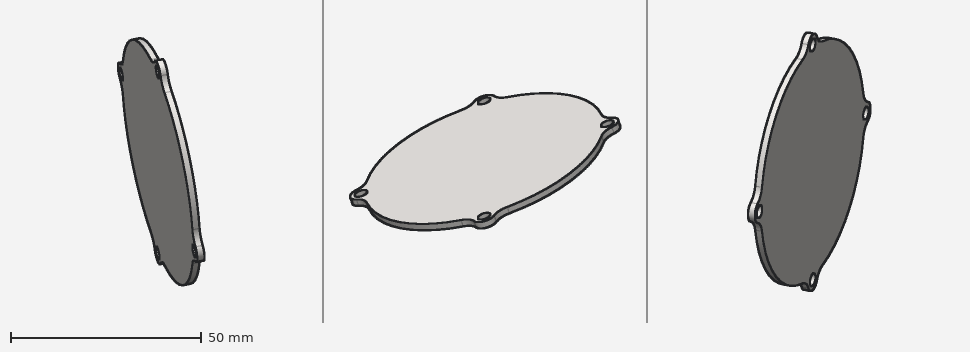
import cadquery as cq
import math

outer_size = 74.0
thickness = 2.0
disc_radius = 33.0
ear_radius = 3.0
blend_radius = 5.0
hole_diameter = 3.5
ear_count = 4

ear_distance = outer_size / 2 - ear_radius

blend_distance = disc_radius + blend_radius
blend_to_ear = ear_radius + blend_radius
blend_angle = math.acos(
    (blend_distance**2 + ear_distance**2 - blend_to_ear**2)
    / (2 * blend_distance * ear_distance)
)


def polar(radius, angle):
    return (radius * math.cos(angle), radius * math.sin(angle))


def point_towards(start, end, distance):
    """Point at a given distance from start along the line to end."""
    ratio = distance / math.dist(start, end)
    return tuple(a + (b - a) * ratio for a, b in zip(start, end))


def add_ear(outline, angle):
    """Continue the outline through a blend, an ear, a blend and a disc arc."""
    ear = polar(ear_distance, angle)
    before = polar(blend_distance, angle - blend_angle)
    after = polar(blend_distance, angle + blend_angle)
    half_step = math.pi / ear_count
    next_start = angle + 2 * half_step - blend_angle

    def blend_middle(centre):
        chord_middle = tuple(
            (a + b) / 2
            for a, b in zip(
                point_towards(centre, (0, 0), blend_radius),
                point_towards(centre, ear, blend_radius),
            )
        )
        return point_towards(centre, chord_middle, blend_radius)

    return (
        outline
        .threePointArc(blend_middle(before), point_towards(ear, before, ear_radius))
        .threePointArc(polar(outer_size / 2, angle), point_towards(ear, after, ear_radius))
        .threePointArc(blend_middle(after), polar(disc_radius, angle + blend_angle))
        .threePointArc(polar(disc_radius, angle + half_step), polar(disc_radius, next_start))
    )


back_plane = cq.Workplane("XZ", origin=(0, thickness / 2, 0))
outline = back_plane.moveTo(*polar(disc_radius, -blend_angle))
for index in range(ear_count):
    outline = add_ear(outline, index * 2 * math.pi / ear_count)
plate = outline.close().extrude(thickness)

holes = (
    back_plane
    .polarArray(ear_distance, 0, 360, ear_count)
    .circle(hole_diameter / 2)
    .extrude(thickness)
)

result = plate.cut(holes)